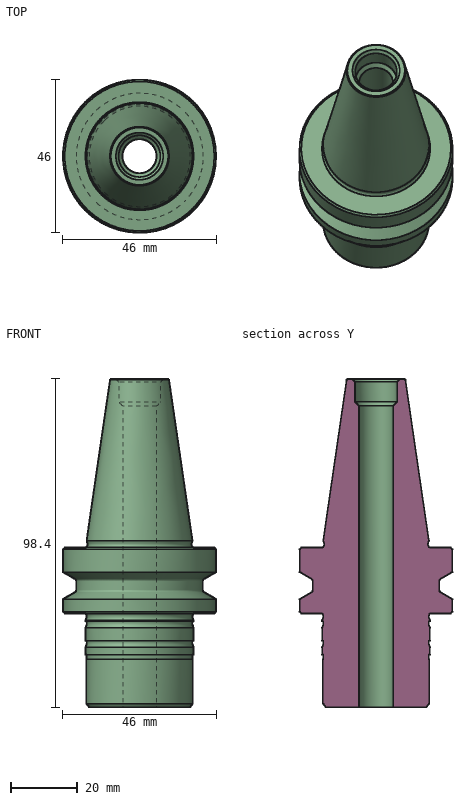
import cadquery as cq
import math

length = 98.4
flange_radius = 46.0 / 2

body_radius = 32.0 / 2
collar_radius = 32.5 / 2
bottom_chamfer_width = 0.9
bottom_chamfer_height = 1.2
neck_bottom = 14.5
neck_radius = 15.9
collar_bottom = 15.8

groove_shoulders = (20.0, 25.8)
groove_height = 2.0
runout_height = 0.6
groove_depth = 0.3
runout_depth = 0.2
groove_sagitta = 0.1

flange_bottom = 28.1
flange_top = 47.9
flange_chamfer = 0.6
grip_radius = 38.0 / 2
grip_bottom_edge = 32.5
grip_top_edge = 40.5
grip_corner_fillet = 0.6
grip_angle = math.radians(30)
grip_side_height = (flange_radius - grip_radius) * math.tan(grip_angle)

gauge_height = 50.0
gauge_radius = 31.8 / 2
taper_per_length = 7 / 24 / 2
relief_radius = 15.6
relief_top = 49.1
tip_chamfer = 0.3

under_fillet_bottom = 26.9
under_fillet_radius = 15.9
under_cone_height = 0.8

bore_radius = 10.1 / 2
counterbore_radius = 12.5 / 2
counterbore_depth = 6.9
mouth_radius = 7.1
mouth_depth = 0.9


def taper_radius(z):
    return gauge_radius - (z - gauge_height) * taper_per_length


def ring_groove(profile, shoulder):
    """Continue the collar outline up through one groove to its shoulder."""
    bottom = shoulder - groove_height
    arc_bottom = bottom + runout_height
    arc_middle = (arc_bottom + shoulder) / 2
    return (
        profile.lineTo(collar_radius, bottom)
        .lineTo(collar_radius - runout_depth, arc_bottom)
        .threePointArc(
            (collar_radius - groove_depth - groove_sagitta, arc_middle),
            (collar_radius - groove_depth, shoulder),
        )
        .lineTo(collar_radius, shoulder)
    )


def corner_fillet_middle(neck, neck_z, flange_z):
    """Middle of a concave arc from a neck out to the collar radius at a flange face."""
    quarter_share = math.sin(math.pi / 4)
    return (
        collar_radius - (collar_radius - neck) * quarter_share,
        neck_z - (neck_z - flange_z) * quarter_share,
    )


def lower_body(profile):
    profile = (
        profile.lineTo(body_radius - bottom_chamfer_width, 0)
        .lineTo(body_radius, bottom_chamfer_height)
        .lineTo(body_radius, neck_bottom)
        .lineTo(neck_radius, neck_bottom)
        .lineTo(neck_radius, collar_bottom)
        .lineTo(collar_radius, collar_bottom)
    )
    for shoulder in groove_shoulders:
        profile = ring_groove(profile, shoulder)
    return (
        profile.lineTo(collar_radius, under_fillet_bottom - under_cone_height)
        .lineTo(under_fillet_radius, under_fillet_bottom)
        .threePointArc(
            corner_fillet_middle(under_fillet_radius, under_fillet_bottom, flange_bottom),
            (collar_radius, flange_bottom),
        )
    )


def flange(profile):
    return (
        profile.lineTo(flange_radius - flange_chamfer, flange_bottom)
        .lineTo(flange_radius, flange_bottom + flange_chamfer)
        .lineTo(flange_radius, grip_bottom_edge)
        .lineTo(grip_radius, grip_bottom_edge + grip_side_height)
        .lineTo(grip_radius, grip_top_edge - grip_side_height)
        .lineTo(flange_radius, grip_top_edge)
        .lineTo(flange_radius, flange_top - flange_chamfer)
        .lineTo(flange_radius - flange_chamfer, flange_top)
    )


def taper(profile):
    tip_edge = length - tip_chamfer
    fillet_middle = corner_fillet_middle(relief_radius, relief_top, flange_top)
    return (
        profile.lineTo(collar_radius, flange_top)
        .threePointArc(fillet_middle, (relief_radius, relief_top))
        .lineTo(gauge_radius, gauge_height)
        .lineTo(taper_radius(tip_edge), tip_edge)
        .lineTo(taper_radius(tip_edge) - tip_chamfer, length)
    )


def bore(profile):
    step_top = length - counterbore_depth
    step_bottom = step_top - (counterbore_radius - bore_radius)
    return (
        profile.lineTo(mouth_radius, length)
        .lineTo(counterbore_radius, length - mouth_depth)
        .lineTo(counterbore_radius, step_top)
        .lineTo(bore_radius, step_bottom)
    )


outline = cq.Workplane("XZ").moveTo(bore_radius, 0)
outline = bore(taper(flange(lower_body(outline)))).close()
holder = outline.revolve(360, (0, 0, 0), (0, 1, 0))

grip_corners = holder.edges("%CIRCLE").filter(
    lambda edge: math.isclose(edge.radius(), grip_radius, abs_tol=9.84e-07)
)
result = grip_corners.fillet(grip_corner_fillet)